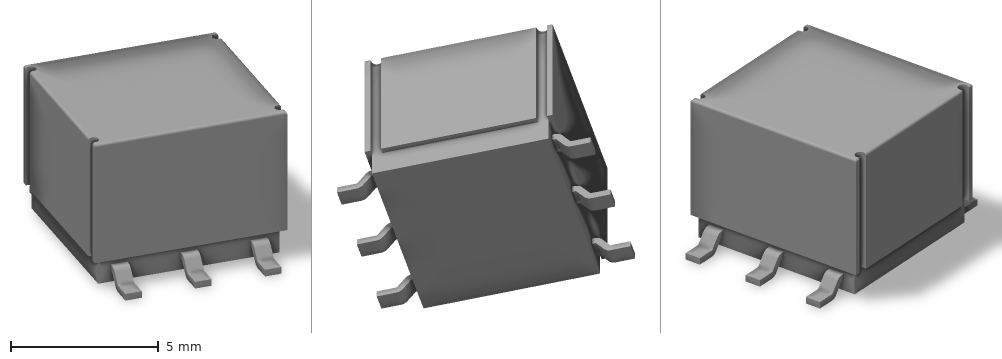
import cadquery as cq
import math

LEAD_SPAN = 8.89
TOTAL_HEIGHT = 5.46

COVER_X = 6.6
COVER_Y = 6.99
COVER_BOTTOM_Z = 1.0
WALL = 0.205
TOP_FILLET = 0.1

SLOT_WIDTH = 0.37
SLOT_DEPTH = 0.3

BASE_X = COVER_X - 2 * WALL
BASE_Y = COVER_Y - 2 * WALL
BASE_BOTTOM_Z = 0.1
BASE_TOP_Z = TOTAL_HEIGHT - WALL

MARK_DIAMETER = 0.5
MARK_X = -2.8
MARK_Y = 2.89
MARK_DEPTH = WALL / 2

LEAD_WIDTH = 0.6
LEAD_THICKNESS = 0.25
LEAD_PITCH = 2.53
LEADS_PER_SIDE = 3
SHANK_TOP_Z = 0.75
SHANK_LENGTH = 0.11
BEND_INNER_RADIUS = 0.06
BEND_ANGLE = math.radians(52)


def make_base():
    """Plain block that carries the leads on its two X sides."""
    height = BASE_TOP_Z - BASE_BOTTOM_Z
    return cq.Workplane("XY").workplane(offset=BASE_BOTTOM_Z).rect(BASE_X, BASE_Y).extrude(height)


def make_mark():
    """Disc whose top is level with the cover roof."""
    return (
        cq.Workplane("XY")
        .workplane(offset=TOTAL_HEIGHT)
        .center(MARK_X, MARK_Y)
        .circle(MARK_DIAMETER / 2)
        .extrude(-MARK_DEPTH)
    )


def make_slot_cutter(x_side, y_side):
    """Full-height cutter with a round inner end, its outer flank in line with the base side."""
    radius = SLOT_WIDTH / 2
    slot_x = x_side * (BASE_X / 2 - radius)
    wall_y = y_side * COVER_Y / 2
    round_start_y = wall_y - y_side * (SLOT_DEPTH - radius)
    round_end_y = wall_y - y_side * SLOT_DEPTH
    return (
        cq.Workplane("XY")
        .moveTo(slot_x - radius, wall_y)
        .lineTo(slot_x - radius, round_start_y)
        .threePointArc((slot_x, round_end_y), (slot_x + radius, round_start_y))
        .lineTo(slot_x + radius, wall_y)
        .close()
        .extrude(TOTAL_HEIGHT)
    )


def make_cover(base, mark):
    """Cover with rounded top edges, fitted over the base, with corner slots and a mark recess."""
    height = TOTAL_HEIGHT - COVER_BOTTOM_Z
    cover = (
        cq.Workplane("XY")
        .workplane(offset=COVER_BOTTOM_Z)
        .rect(COVER_X, COVER_Y)
        .extrude(height)
        .faces(">Z")
        .edges()
        .fillet(TOP_FILLET)
    )
    cover = cover.cut(base).cut(mark)
    for x_side in (-1, 1):
        for y_side in (-1, 1):
            cover = cover.cut(make_slot_cutter(x_side, y_side))
    return cover


def make_lead():
    """Lead on the +X side at Y = 0: a flat strip swept along its double-bent centre line."""
    radius = BEND_INNER_RADIUS + LEAD_THICKNESS / 2
    shank_z = SHANK_TOP_Z - LEAD_THICKNESS / 2
    foot_z = LEAD_THICKNESS / 2

    bend_run = radius * math.sin(BEND_ANGLE)
    bend_drop = radius * (1 - math.cos(BEND_ANGLE))
    slope_drop = shank_z - foot_z - 2 * bend_drop
    slope_run = slope_drop / math.tan(BEND_ANGLE)

    half_run = radius * math.sin(BEND_ANGLE / 2)
    half_drop = radius * (1 - math.cos(BEND_ANGLE / 2))

    root_x = BASE_X / 2
    upper_bend_x = root_x + SHANK_LENGTH
    slope_start = (upper_bend_x + bend_run, shank_z - bend_drop)
    slope_end = (slope_start[0] + slope_run, foot_z + bend_drop)
    lower_bend_x = slope_end[0] + bend_run

    centre_line = (
        cq.Workplane("XZ")
        .moveTo(root_x, shank_z)
        .lineTo(upper_bend_x, shank_z)
        .threePointArc((upper_bend_x + half_run, shank_z - half_drop), slope_start)
        .lineTo(*slope_end)
        .threePointArc((lower_bend_x - half_run, foot_z + half_drop), (lower_bend_x, foot_z))
        .lineTo(LEAD_SPAN / 2, foot_z)
    )
    return (
        cq.Workplane("YZ", origin=(root_x, 0, shank_z))
        .rect(LEAD_WIDTH, LEAD_THICKNESS)
        .sweep(centre_line)
    )


def make_leads():
    """Equal rows of leads on the +X and -X sides."""
    lead = make_lead()
    leads = []
    for turn in (0, 180):
        side_lead = lead.rotate((0, 0, 0), (0, 0, 1), turn)
        for index in range(LEADS_PER_SIDE):
            lead_y = (index - (LEADS_PER_SIDE - 1) / 2) * LEAD_PITCH
            leads.append(side_lead.translate((0, lead_y, 0)).val())
    return leads


base = make_base()
mark = make_mark()
cover = make_cover(base, mark)
leads = make_leads()

result = cq.Compound.makeCompound([base.val(), cover.val(), mark.val(), *leads])